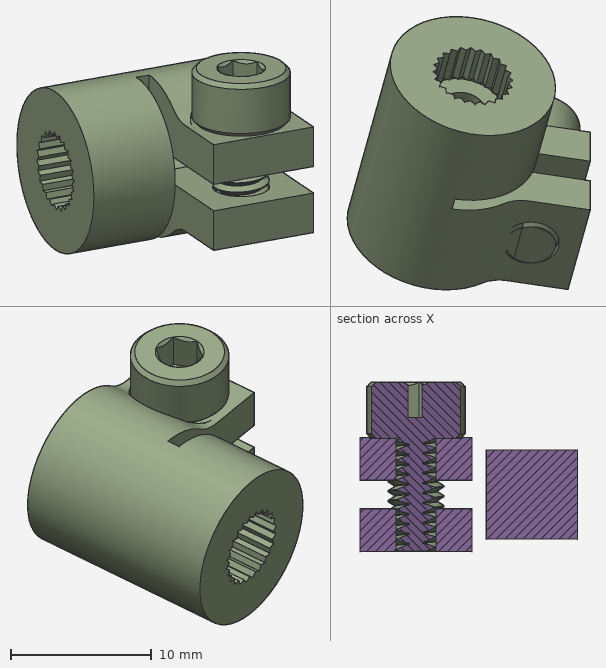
import math

import cadquery as cq

barrel_radius = 6.0
barrel_length = 15.5
front_y = 0.0
back_y = front_y + barrel_length
through_hole_radius = 1.5

spline_teeth = 24
spline_tip_radius = 2.89
spline_valley_radius = 2.58
spline_depth = 2.92
relief_radius = spline_tip_radius
relief_width = 0.22
spline_turn = 3.0

ear_end_x = 10.03
ear_length = 8.0
ear_half_height = 4.0
ear_fillet_radius = 3.0
ear_front_y = back_y - ear_length

clamp_gap = 2.0
cross_slit_width = 1.0

screw_x = 6.52
screw_y = back_y - ear_length / 2
head_radius = 3.51
head_height = 3.99
head_chamfer = 0.32
head_recess_radius = 3.6
head_top_z = ear_half_height + head_height

hex_corner_radius = 1.73
hex_depth = 2.5
hex_turn = 52.5

thread_radius = 2.0
thread_root_radius = 1.54
thread_pitch = 0.7
screw_hole_radius = 2.02
thread_length = 2 * ear_half_height
thread_crest_width = 0.06
thread_foot_width = 0.69
thread_foot_depth = 0.03
thread_crest_z = 0.06
core_turn = 100.0


def cylinder_along_y(radius, start_y, length):
    """Solid cylinder on the Y axis, from start_y towards +Y."""
    return cq.Workplane("XZ", origin=(0, start_y, 0)).circle(radius).extrude(-length)


def cylinder_on_screw_axis(radius, bottom_z, height):
    """Solid cylinder on the screw axis, from bottom_z upwards."""
    return cq.Workplane("XY", origin=(screw_x, screw_y, bottom_z)).circle(radius).extrude(height)


def ear_block():
    """Ears as one block, blended into the barrel by tangent fillets above and below."""
    centre_z = ear_half_height + ear_fillet_radius
    centre_distance = barrel_radius + ear_fillet_radius
    fillet_end_x = math.sqrt(centre_distance**2 - centre_z**2)
    tangent_x = fillet_end_x * barrel_radius / centre_distance
    tangent_z = centre_z * barrel_radius / centre_distance

    middle_angle = (math.atan2(-centre_z, -fillet_end_x) - math.pi / 2) / 2
    middle_x = fillet_end_x + ear_fillet_radius * math.cos(middle_angle)
    middle_z = centre_z + ear_fillet_radius * math.sin(middle_angle)

    return (
        cq.Workplane("XZ", origin=(0, ear_front_y, 0))
        .moveTo(0, 0)
        .lineTo(tangent_x, tangent_z)
        .threePointArc((middle_x, middle_z), (fillet_end_x, ear_half_height))
        .lineTo(ear_end_x, ear_half_height)
        .lineTo(ear_end_x, -ear_half_height)
        .lineTo(fillet_end_x, -ear_half_height)
        .threePointArc((middle_x, -middle_z), (tangent_x, -tangent_z))
        .close()
        .extrude(-ear_length)
    )


def spline_socket():
    """Toothed cavity for a splined shaft, sunk into the front end."""
    points = []
    half_step = math.pi / spline_teeth
    for index in range(2 * spline_teeth):
        radius = spline_tip_radius if index % 2 == 0 else spline_valley_radius
        angle = math.pi / 2 + math.radians(spline_turn) + index * half_step
        points.append((radius * math.cos(angle), radius * math.sin(angle)))
    return cq.Workplane("XZ", origin=(0, front_y, 0)).polyline(points).close().extrude(-spline_depth)


def make_clamp():
    """Barrel with splined socket, split ears and the hole and recess for the screw."""
    clamp = cylinder_along_y(barrel_radius, front_y, barrel_length).union(ear_block())
    clamp = clamp.cut(cylinder_along_y(through_hole_radius, front_y, barrel_length))
    clamp = clamp.cut(spline_socket())
    clamp = clamp.cut(cylinder_along_y(relief_radius, front_y + spline_depth, relief_width))

    ear_gap = cq.Workplane("XY").box(ear_end_x, ear_length, clamp_gap, centered=(False, False, True))
    clamp = clamp.cut(ear_gap.translate((0, ear_front_y, 0)))

    cross_slit = cq.Workplane("XY").box(
        barrel_radius, cross_slit_width, 2 * barrel_radius, centered=(False, False, True)
    )
    clamp = clamp.cut(cross_slit.translate((0, ear_front_y - cross_slit_width, 0)))

    clamp = clamp.cut(cylinder_on_screw_axis(screw_hole_radius, -ear_half_height, thread_length))
    return clamp.cut(cylinder_on_screw_axis(head_recess_radius, ear_half_height, head_height))


def screw_head():
    """Cylindrical head with chamfered rims and a countersunk hexagon socket."""
    head = cylinder_on_screw_axis(head_radius, ear_half_height, head_height)
    head = head.faces("<Z or >Z").edges().chamfer(head_chamfer)

    hexagon = (
        cq.Workplane("XY")
        .polygon(6, 2 * hex_corner_radius)
        .extrude(-hex_depth)
        .rotate((0, 0, 0), (0, 0, 1), hex_turn)
    )
    countersink = cq.Workplane(cq.Solid.makeCone(0, hex_corner_radius, hex_corner_radius))
    countersink = countersink.translate((0, 0, -hex_corner_radius))
    socket = hexagon.union(countersink)
    return head.cut(socket.translate((screw_x, screw_y, head_top_z)))


def thread_ridge():
    """Helical ridge with straight flanks, cut off square at both ends of the shank."""
    turns = 2 * math.ceil(thread_length / 2 / thread_pitch + 1)
    start_z = thread_crest_z - turns / 2 * thread_pitch
    helix = cq.Wire.makeHelix(thread_pitch, turns * thread_pitch, thread_root_radius)

    foot_radius = thread_root_radius - thread_foot_depth
    ridge = (
        cq.Workplane("XZ")
        .moveTo(foot_radius, -thread_foot_width / 2)
        .lineTo(thread_radius, -thread_crest_width / 2)
        .lineTo(thread_radius, thread_crest_width / 2)
        .lineTo(foot_radius, thread_foot_width / 2)
        .close()
        .sweep(cq.Workplane(helix), isFrenet=True)
        .translate((screw_x, screw_y, start_z))
    )
    shank_slab = cq.Workplane("XY").box(4 * thread_radius, 4 * thread_radius, thread_length)
    return ridge.intersect(shank_slab.translate((screw_x, screw_y, 0)))


def make_screw():
    """Cap screw: head, shank core and thread in one solid."""
    core = cylinder_on_screw_axis(thread_root_radius, -ear_half_height, thread_length)
    core = core.rotate((screw_x, screw_y, 0), (screw_x, screw_y, 1), core_turn)
    return core.union(thread_ridge()).union(screw_head())


clamp = make_clamp()
screw = make_screw()

result = cq.Compound.makeCompound([*clamp.solids().vals(), *screw.solids().vals()])